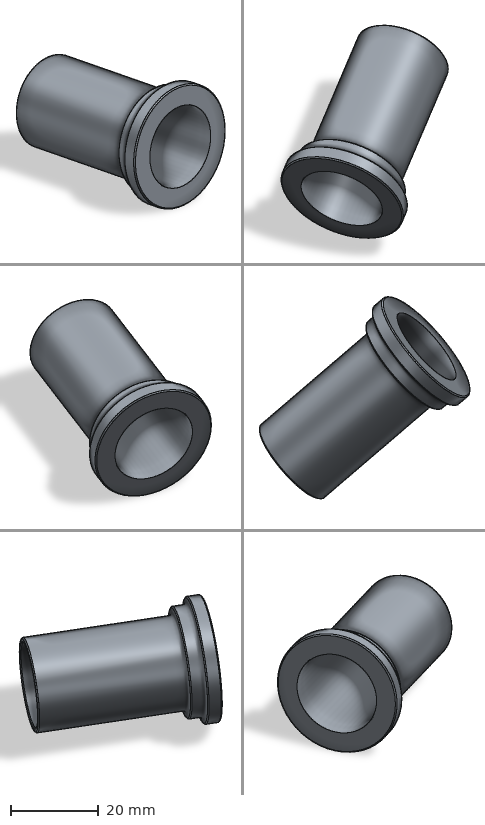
import cadquery as cq

length = 42.0
bore_diameter = 19.6
tube_diameter = 22.0
collar_diameter = 26.0
flange_diameter = 29.5

flange_width = 3.4
collar_width = 3.6
edge_chamfer = 0.3
bore_chamfer = 0.25
collar_root_fillet = 0.75
flange_root_fillet = 0.9

flange_start = length - flange_width
collar_start = flange_start - collar_width


def chamfered_cylinder(diameter, start, end, chamfered_edges):
    """Cylinder along X with the chosen circular end edges chamfered."""
    cylinder = cq.Workplane("YZ", origin=(start, 0, 0)).circle(diameter / 2).extrude(end - start)
    return cylinder.edges(chamfered_edges).chamfer(edge_chamfer)


def root_fillet(diameter, shoulder, radius):
    """Ring that rounds the inside corner between a cylinder and the shoulder face at its end."""
    surface = diameter / 2
    bend = radius * 2**-0.5
    arc_middle = (shoulder - radius + bend, surface + radius - bend)
    return (
        cq.Workplane("XY")
        .moveTo(shoulder - radius, surface)
        .threePointArc(arc_middle, (shoulder, surface + radius))
        .lineTo(shoulder + radius, surface + radius)
        .lineTo(shoulder + radius, bore_diameter / 2)
        .lineTo(shoulder - radius, bore_diameter / 2)
        .close()
        .revolve(360, (0, 0, 0), (1, 0, 0))
    )


tube = chamfered_cylinder(tube_diameter, 0, length, "<X")
collar = chamfered_cylinder(collar_diameter, collar_start, length - flange_width / 2, "<X")
flange = chamfered_cylinder(flange_diameter, flange_start, length, "%CIRCLE")
body = tube.union(collar).union(flange)
body = body.union(root_fillet(tube_diameter, collar_start, collar_root_fillet))
body = body.union(root_fillet(collar_diameter, flange_start, flange_root_fillet))

bore = cq.Workplane("YZ").circle(bore_diameter / 2).extrude(length)
result = body.cut(bore)
result = result.faces("<X").edges(cq.selectors.RadiusNthSelector(0)).chamfer(bore_chamfer)